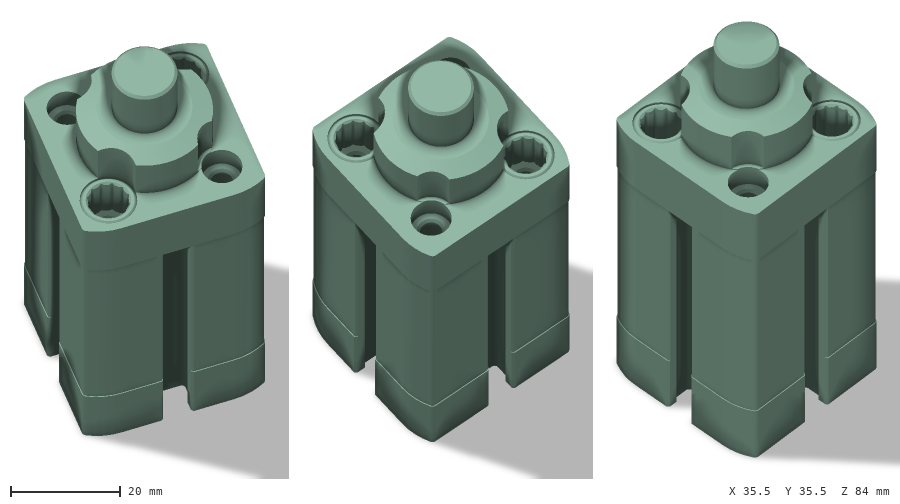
import cadquery as cq
import math

overall_height = 84.0
width = 35.5
body_height = 63.5
cap_height = 12.1
barrel_inset = 0.2

screw_spacing = 22.0
corner_radius = 13.0
edge_radius = 1.0

collar_diameter = 25.0
collar_height = 9.5
collar_cone_height = 1.0
collar_top_diameter = 17.5

rod_diameter = 12.0
rod_chamfer = 0.5

slot_mouth_width = 5.4
slot_mouth_chamfer = 0.4
slot_lip_depth = 2.2
slot_inner_width = 7.0
slot_depth = 6.2
slot_corner_radius = 0.75

through_diameter = 4.1
through_chamfer = 0.5
counterbore_diameter = 7.5
counterbore_depth = 4.2
relief_diameter = 9.0
relief_floor = 0.25

socket_ring_diameter = 10.5
socket_ring_chamfer = 0.5
socket_corner_diameter = 8.1
socket_mouth_diameter = 8.3
socket_depth = 8.4

half_width = width / 2
half_spacing = screw_spacing / 2
barrel_top = body_height - cap_height
collar_top = body_height + collar_height
rod_bottom = barrel_top
socket_floor = body_height - socket_depth
plain_hole_points = [(-half_spacing, -half_spacing), (half_spacing, half_spacing)]
socket_points = [(-half_spacing, half_spacing), (half_spacing, -half_spacing)]


def cylinder(diameter, bottom, top, point=(0, 0)):
    """Upright cylinder between two heights."""
    return (
        cq.Workplane("XY", origin=(*point, bottom))
        .circle(diameter / 2)
        .extrude(top - bottom)
    )


def cone(bottom_diameter, top_diameter, bottom, top, point=(0, 0)):
    """Upright truncated cone between two heights."""
    solid = cq.Solid.makeCone(
        bottom_diameter / 2, top_diameter / 2, top - bottom, cq.Vector(*point, bottom)
    )
    return cq.Workplane(obj=solid)


def section(bottom, top, inset=0.0):
    """Length of the housing whose outline lies `inset` inside the full square."""
    half = half_width - inset
    radius = corner_radius - inset
    arc_x = half_width - corner_radius
    corner_angle = math.asin((half - half_spacing) / radius)
    corner_x = arc_x + radius * math.cos(corner_angle)
    middle_angle = corner_angle / 2
    middle_x = arc_x + radius * math.cos(middle_angle)
    middle_y = half_spacing + radius * math.sin(middle_angle)
    return (
        cq.Workplane("XY", origin=(0, 0, bottom))
        .moveTo(half, -half_spacing)
        .lineTo(half, half_spacing)
        .threePointArc((middle_x, middle_y), (corner_x, half))
        .lineTo(-corner_x, half)
        .threePointArc((-middle_x, middle_y), (-half, half_spacing))
        .lineTo(-half, -half_spacing)
        .threePointArc((-middle_x, -middle_y), (-corner_x, -half))
        .lineTo(corner_x, -half)
        .threePointArc((middle_x, -middle_y), (half, -half_spacing))
        .close()
        .extrude(top - bottom)
        .edges("|Z and (>Y or <Y)")
        .fillet(edge_radius - inset)
    )


def slot_prism(breadth, near, far, top):
    """Cutter along the -Y side, between two depths below the side face."""
    return (
        cq.Workplane("XY")
        .center(0, (near + far) / 2 - half_width)
        .rect(breadth, far - near)
        .extrude(top)
    )


def slot_flare(bottom, top, inset=0.0):
    """Cutter that chamfers the slot mouth in a face set back by `inset`."""
    mouth = slot_mouth_width / 2
    flare = mouth + slot_mouth_chamfer
    face = inset - half_width
    return (
        cq.Workplane("XY", origin=(0, 0, bottom))
        .polyline([
            (-flare, face),
            (-mouth, face + slot_mouth_chamfer),
            (mouth, face + slot_mouth_chamfer),
            (flare, face),
        ])
        .close()
        .extrude(top - bottom)
    )


def t_slot():
    """Cutter for the slot in the -Y side, through the cap and the barrel."""
    lip = slot_prism(slot_mouth_width, 0, slot_lip_depth, barrel_top)
    inner = slot_prism(slot_inner_width, slot_lip_depth, slot_depth, barrel_top)
    inner = inner.edges("|Z and >Y").fillet(slot_corner_radius)
    cap_flare = slot_flare(0, cap_height)
    barrel_flare = slot_flare(cap_height, barrel_top, barrel_inset)
    return lip.union(inner).union(cap_flare).union(barrel_flare)


def through_hole(point, floor):
    """Cutter for a through hole, chamfered where it meets the floor above it."""
    chamfer = cone(
        through_diameter, through_diameter + 2 * through_chamfer, floor - through_chamfer, floor, point
    )
    return cylinder(through_diameter, 0, floor, point).union(chamfer)


def plain_hole(point):
    """Cutter for a counterbored hole and the relief it needs in the collar."""
    floor = body_height - counterbore_depth
    relief = cylinder(relief_diameter, body_height + relief_floor, collar_top, point)
    counterbore = cylinder(counterbore_diameter, floor, collar_top, point)
    return through_hole(point, floor).union(counterbore).union(relief)


def socket_hole(point):
    """Cutter for a hole with a twelve-point socket inside a chamfered ring."""
    socket = cylinder(counterbore_diameter, socket_floor, body_height, point)
    for angle in (0, 30):
        hexagon = (
            cq.Workplane("XY", origin=(*point, socket_floor))
            .transformed(rotate=(0, 0, angle))
            .polygon(6, socket_corner_diameter)
            .extrude(socket_depth)
        )
        socket = socket.union(hexagon)
    lead_in_height = (socket_mouth_diameter - counterbore_diameter) / 2
    lead_in = cone(
        counterbore_diameter, socket_mouth_diameter, body_height - lead_in_height, body_height, point
    )
    ring_bottom = body_height - socket_ring_chamfer
    ring_cone = cone(
        socket_ring_diameter,
        socket_ring_diameter - 2 * socket_ring_chamfer,
        ring_bottom,
        body_height,
        point,
    )
    groove = cylinder(socket_ring_diameter, ring_bottom, body_height, point).cut(ring_cone)
    relief = cylinder(socket_ring_diameter, body_height, collar_top, point)
    return through_hole(point, socket_floor).union(socket).union(lead_in).union(groove).union(relief)


def make_housing():
    """End cap, barrel, head and collar in one piece."""
    cone_bottom = collar_top - collar_cone_height
    housing = (
        section(0, cap_height)
        .union(section(cap_height, barrel_top, barrel_inset))
        .union(section(barrel_top, body_height))
        .union(cylinder(collar_diameter, body_height, cone_bottom))
        .union(cone(collar_diameter, collar_top_diameter, cone_bottom, collar_top))
    )
    for angle in (0, 90, 180, 270):
        housing = housing.cut(t_slot().rotate((0, 0, 0), (0, 0, 1), angle))
    for point in plain_hole_points:
        housing = housing.cut(plain_hole(point))
    for point in socket_points:
        housing = housing.cut(socket_hole(point))
    return housing.cut(cylinder(rod_diameter, rod_bottom, collar_top))


def make_rod():
    """Rod seated in the collar and the head."""
    return cylinder(rod_diameter, rod_bottom, overall_height).faces(">Z").chamfer(rod_chamfer)


housing = make_housing()
rod = make_rod()
result = cq.Compound.makeCompound([housing.val(), rod.val()])